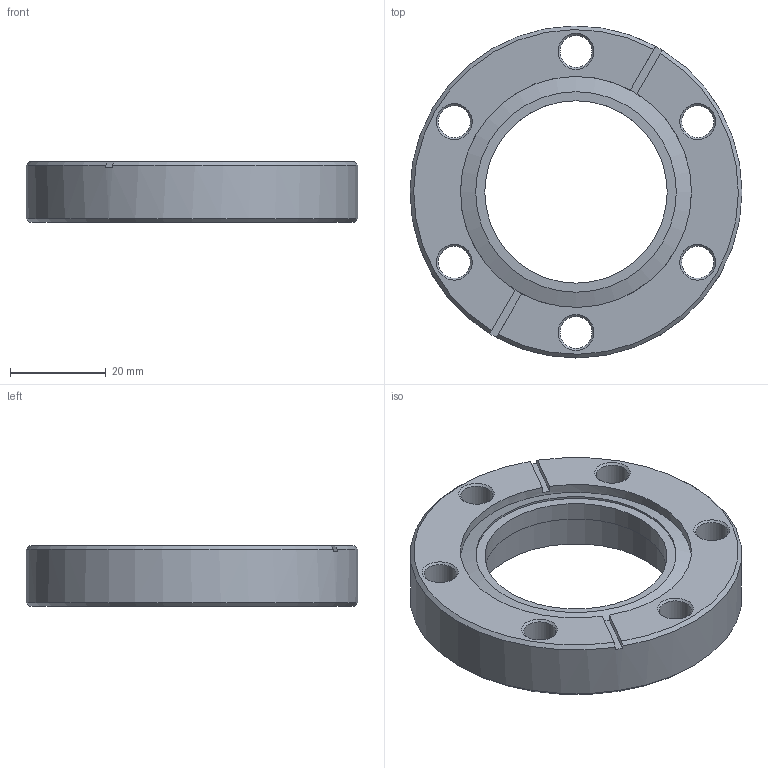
import cadquery as cq

flange_diameter = 69.34
flange_thickness = 12.7
rim_chamfer = 0.75

bore_diameter = 38.1
socket_diameter = 41.3
socket_depth = 7.5

recess_diameter = 48.26
recess_wall_depth = 2.0
knife_diameter = 41.9
knife_edge_depth = 0.85
knife_floor_depth = 1.3

bolt_count = 6
bolt_circle_diameter = 58.72
bolt_hole_diameter = 6.7
bolt_hole_chamfer = 0.4
first_bolt_angle = 90.0
countersink_angle = 90.0

groove_count = 2
groove_angle = 60.0
groove_width = 1.6
groove_depth = 1.3


def make_flange_body():
    """Revolved ring with chamfered rims, gasket recess, knife edge and bore."""
    flange_radius = flange_diameter / 2
    bore_radius = bore_diameter / 2
    socket_radius = socket_diameter / 2
    knife_radius = knife_diameter / 2
    recess_radius = recess_diameter / 2
    top = flange_thickness
    profile = [
        (socket_radius, 0),
        (flange_radius - rim_chamfer, 0),
        (flange_radius, rim_chamfer),
        (flange_radius, top - rim_chamfer),
        (flange_radius - rim_chamfer, top),
        (recess_radius, top),
        (recess_radius, top - recess_wall_depth),
        (knife_radius, top - knife_edge_depth),
        (knife_radius, top - knife_floor_depth),
        (bore_radius, top - knife_floor_depth),
        (bore_radius, socket_depth),
        (socket_radius, socket_depth),
    ]
    return cq.Workplane("XZ").polyline(profile).close().revolve(360, (0, 0), (0, 1))


def cut_bolt_holes(body):
    """Through holes on the bolt circle, chamfered at the sealing face."""
    countersink_diameter = bolt_hole_diameter + 2 * bolt_hole_chamfer
    return (
        body.faces(">Z")
        .workplane(origin=(0, 0, flange_thickness))
        .polarArray(bolt_circle_diameter / 2, first_bolt_angle, 360, bolt_count)
        .cskHole(bolt_hole_diameter, countersink_diameter, countersink_angle)
    )


def cut_leak_grooves(body):
    """Square grooves from the gasket recess out through the rim."""
    inner_radius = (knife_diameter + recess_diameter) / 4
    length = flange_diameter / 2 - inner_radius + groove_width
    groove = cq.Workplane("XY").box(length, groove_width, groove_depth, centered=(False, True, False))
    groove = groove.translate((inner_radius, 0, flange_thickness - groove_depth))
    for index in range(groove_count):
        angle = groove_angle + index * 360 / groove_count
        body = body.cut(groove.rotate((0, 0, 0), (0, 0, 1), angle))
    return body


result = make_flange_body()
result = cut_bolt_holes(result)
result = cut_leak_grooves(result)